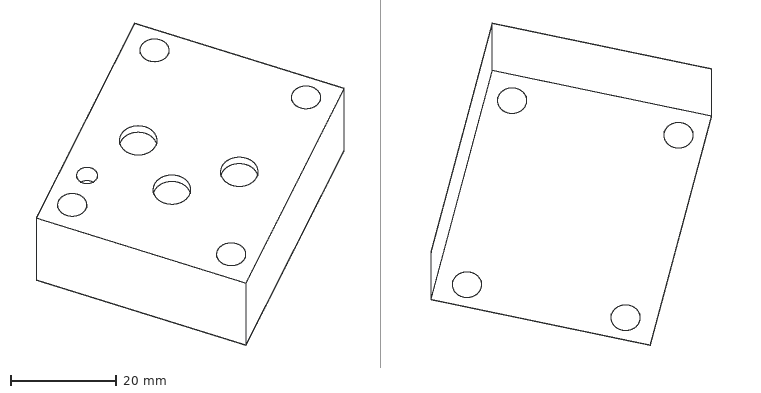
import cadquery as cq
import math

WIDTH = 42.9
LENGTH = 50.8
HEIGHT = 19.05
TOP = HEIGHT / 2

MOUNT_DIAMETER = 5.55
REAR_MOUNT_SPACING = 31.0
REAR_MOUNT_Y = 20.7
FRONT_MOUNT_SPACING = 32.5
FRONT_MOUNT_Y = -19.9

DRILL_POINT_ANGLE = 118.0
PORT_DIAMETER = 7.1
PORT_DEPTH = 2.0
PAIRED_PORT_SPACING = 20.7
PAIRED_PORT_Y = -0.75
CENTRE_PORT_Y = -9.5
PIN_DIAMETER = 3.95
PIN_DEPTH = 4.05
PIN_X = -FRONT_MOUNT_SPACING / 2
PIN_Y = -12.25


def drilling(x, y, diameter, depth):
    """Blind hole in the top face: straight wall to the given depth, then a drill-point cone."""
    radius = diameter / 2
    point_depth = radius / math.tan(math.radians(DRILL_POINT_ANGLE / 2))
    profile = (
        cq.Workplane("XZ")
        .lineTo(radius, 0)
        .lineTo(radius, -depth)
        .lineTo(0, -depth - point_depth)
        .close()
    )
    cutter = profile.revolve(360, (0, 0, 0), (0, 1, 0))
    return cutter.translate((x, y, TOP))


def mirrored_pair(spacing, y):
    """Two points placed symmetrically about the YZ plane."""
    return [(-spacing / 2, y), (spacing / 2, y)]


result = cq.Workplane("XY").box(WIDTH, LENGTH, HEIGHT)

mount_points = mirrored_pair(REAR_MOUNT_SPACING, REAR_MOUNT_Y)
mount_points += mirrored_pair(FRONT_MOUNT_SPACING, FRONT_MOUNT_Y)
result = result.faces(">Z").workplane().pushPoints(mount_points).hole(MOUNT_DIAMETER)

port_points = mirrored_pair(PAIRED_PORT_SPACING, PAIRED_PORT_Y) + [(0, CENTRE_PORT_Y)]
for x, y in port_points:
    result = result.cut(drilling(x, y, PORT_DIAMETER, PORT_DEPTH))

result = result.cut(drilling(PIN_X, PIN_Y, PIN_DIAMETER, PIN_DEPTH))